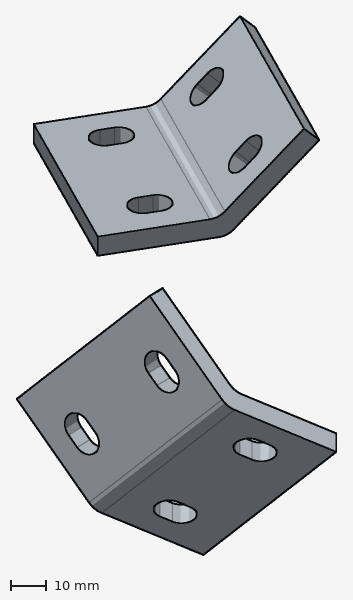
import cadquery as cq
import math

depth = 65.05
width = 63.5
thickness = 6.4
bend_angle = 45.0
bend_radius = 6.2
slot_width = 8.8
slot_length = 13.0
slot_spacing = 38.1

bend_cos = math.cos(math.radians(bend_angle))
bend_sin = math.sin(math.radians(bend_angle))
leg_length = depth / (1 + bend_cos)
slot_offset = leg_length / 2
corner_shift = thickness * math.tan(math.radians(bend_angle / 2))


def bent_plate():
    """Flat leg along -Y and inclined leg along +Y; underside corner at the origin."""
    tip_y = leg_length * bend_cos
    tip_z = leg_length * bend_sin
    profile = [
        (-leg_length, 0),
        (0, 0),
        (tip_y, tip_z),
        (tip_y - thickness * bend_sin, tip_z + thickness * bend_cos),
        (-corner_shift, thickness),
        (-leg_length, thickness),
    ]
    plate = cq.Workplane("YZ").polyline(profile).close().extrude(width / 2, both=True)
    for corner in ((0, 0, 0), (0, -corner_shift, thickness)):
        plate = plate.edges(cq.selectors.NearestToPointSelector(corner)).fillet(bend_radius)
    return plate


def slot_pair():
    """Cutters for two slots through the flat leg, lengthwise along Y."""
    return (
        cq.Workplane("XY")
        .pushPoints([(-slot_spacing / 2, -slot_offset), (slot_spacing / 2, -slot_offset)])
        .slot2D(slot_length, slot_width, 90)
        .extrude(thickness)
    )


flat_slots = slot_pair()
inclined_slots = slot_pair().mirror("XZ").rotate((0, 0, 0), (1, 0, 0), bend_angle)

result = bent_plate().cut(flat_slots).cut(inclined_slots)